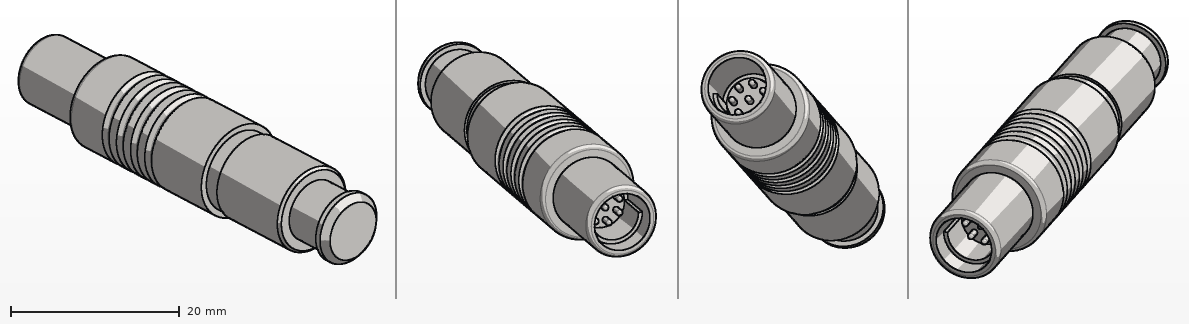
import cadquery as cq
import math

total_length = 54.5

body_start = 10.8
body_end = 34.3
collar_start = 36.5
collar_end = 47.5
flange_start = 52.9

nose_radius = 4.5
body_radius = 6.0
neck_radius = 5.2
collar_radius = 5.5
stem_radius = 3.9
flange_radius = 4.55

edge_fillet = 0.5
collar_chamfer = 0.35
flange_chamfer = 0.85

groove_count = 4
groove_start = 16.8
groove_pitch = 2.5
groove_width = 1.2
groove_slope = math.radians(30)

bore_radius = 3.55
bore_depth = 7.0
shell_inner_radius = 3.05
shell_start = 2.4
insert_radius = 2.9
insert_height = 0.5

ring_pin_count = 7
pin_ring_radius = 2.0
pin_radius = 0.38
pin_length = 1.5


def cylinder(start, end, radius):
    """Cylinder on the X axis between two stations."""
    return cq.Workplane("YZ").workplane(offset=start).circle(radius).extrude(end - start)


def make_outer_form():
    """Stepped outside of the plug, with its rounded and bevelled edges."""
    nose = cylinder(0, body_start, nose_radius).faces("<X").edges().fillet(edge_fillet)
    body = cylinder(body_start, body_end, body_radius).faces("<X").edges().fillet(edge_fillet)
    neck = cylinder(body_end, collar_start, neck_radius)
    collar = cylinder(collar_start, collar_end, collar_radius).faces(">X").edges().chamfer(collar_chamfer)
    stem = cylinder(collar_end, flange_start, stem_radius)
    flange = cylinder(flange_start, total_length, flange_radius).faces(">X").edges().chamfer(flange_chamfer)
    return nose.union(body).union(neck).union(collar).union(stem).union(flange)


def make_groove(start):
    """Ring to cut for one grip groove that begins at the given station."""
    slope_sine = math.sin(groove_slope)
    arc_radius = groove_width * slope_sine / (1 + slope_sine)
    end = start + groove_width
    arc_center = end - arc_radius
    tangent_point = (
        arc_center - arc_radius * slope_sine,
        body_radius - arc_radius * math.cos(groove_slope),
    )
    arc_bottom = (arc_center, body_radius - arc_radius)
    return (
        cq.Workplane("XY")
        .moveTo(start, body_radius)
        .lineTo(*tangent_point)
        .threePointArc(arc_bottom, (end, body_radius))
        .close()
        .revolve(360, (0, 0, 0), (1, 0, 0))
    )


def make_keying_shell():
    """Half-round shell lining the lower half (-Z) of the socket."""
    ring = cylinder(shell_start, bore_depth, bore_radius).cut(
        cylinder(shell_start, bore_depth, shell_inner_radius)
    )
    lower_half = cq.Workplane("XY").box(
        total_length, 2 * body_radius, body_radius, centered=(False, True, False)
    ).translate((0, 0, -body_radius))
    return ring.intersect(lower_half)


def make_pin(y, z):
    """Contact pin with a hemispherical tip standing on the insert face."""
    insert_face = bore_depth - insert_height
    tip_center = insert_face - pin_length + pin_radius
    shank = cylinder(tip_center, bore_depth, pin_radius)
    tip = cq.Workplane("XY").sphere(pin_radius).translate((tip_center, 0, 0))
    return shank.union(tip).translate((0, y, z))


result = make_outer_form()

for index in range(groove_count):
    result = result.cut(make_groove(groove_start + index * groove_pitch))

result = result.cut(cylinder(0, bore_depth, bore_radius))
result = result.union(make_keying_shell())
result = result.union(cylinder(bore_depth - insert_height, bore_depth, insert_radius))

result = result.union(make_pin(0, 0))
for index in range(ring_pin_count):
    angle = index * 2 * math.pi / ring_pin_count
    result = result.union(make_pin(pin_ring_radius * math.cos(angle), pin_ring_radius * math.sin(angle)))